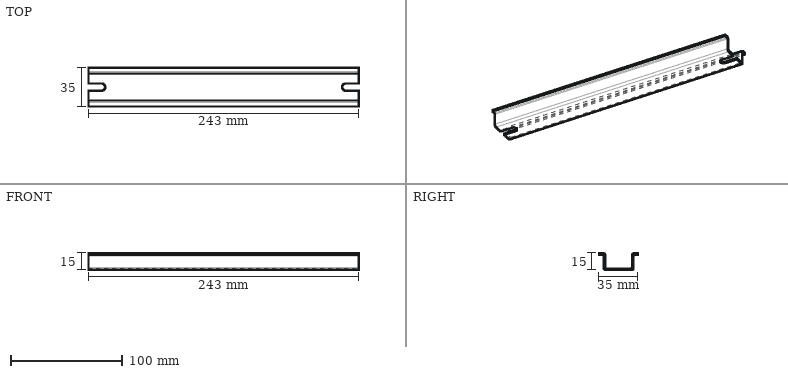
import cadquery as cq

length = 243.0
rail_width = 35.0
rail_height = 15.0
thickness = 1.5
channel_width = 27.0

floor_inner_radius = 0.5
floor_outer_radius = 2.0
flange_inner_radius = 0.8
flange_outer_radius = 1.8

slot_width = 6.3
slot_depth = 15.0

flange_bottom = rail_height - thickness
flange_tip_y = rail_width / 2
wall_outer_y = channel_width / 2
wall_inner_y = wall_outer_y - thickness


def sharp_rail():
    """Hat section with square corners: floor, two walls and two outward flanges."""
    outer_side = [
        (0, 0),
        (wall_outer_y, 0),
        (wall_outer_y, flange_bottom),
        (flange_tip_y, flange_bottom),
    ]
    inner_side = [
        (flange_tip_y, rail_height),
        (wall_inner_y, rail_height),
        (wall_inner_y, thickness),
        (0, thickness),
    ]
    half = cq.Workplane("YZ").polyline(outer_side + inner_side).close()
    half = half.extrude(length / 2, both=True)
    return half.union(half.mirror("XZ"))


def round_bend(rail, y, z, radius):
    """Fillet the two lengthwise edges at +y and -y on height z."""
    for edge_y in (-y, y):
        rail = rail.edges(cq.selectors.NearestToPointSelector((0, edge_y, z))).fillet(radius)
    return rail


def end_slot(side):
    """Cutter for the slot at the rail end on the given side (-1 or +1)."""
    end_x = side * length / 2
    tip_x = end_x - side * slot_depth
    half_width = slot_width / 2
    arc_start_x = tip_x + side * half_width
    return (
        cq.Workplane("XY")
        .moveTo(end_x, -half_width)
        .lineTo(arc_start_x, -half_width)
        .threePointArc((tip_x, 0), (arc_start_x, half_width))
        .lineTo(end_x, half_width)
        .close()
        .extrude(thickness)
    )


result = sharp_rail()
result = round_bend(result, wall_outer_y, 0, floor_outer_radius)
result = round_bend(result, wall_inner_y, thickness, floor_inner_radius)
result = round_bend(result, wall_outer_y, flange_bottom, flange_inner_radius)
result = round_bend(result, wall_inner_y, rail_height, flange_outer_radius)
for end in (-1, 1):
    result = result.cut(end_slot(end))